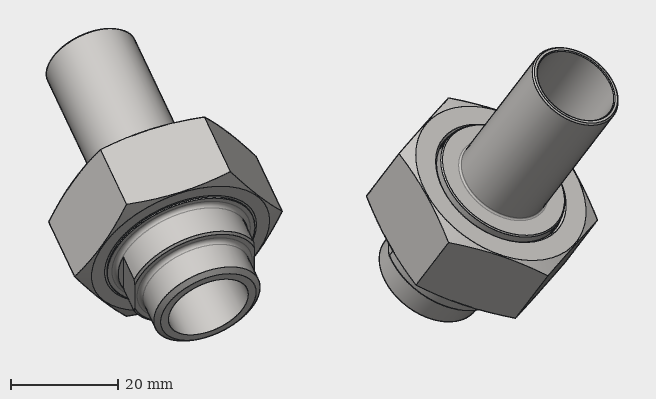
import cadquery as cq
import math

overall_length = 61.0
bore_radius = 16.0 / 2
thread_radius = 30.4 / 2

nut_start = 31.0
nut_end = 46.6
nut_across_flats = 36.0
nut_across_corners = nut_across_flats / math.cos(math.pi / 6)
nut_face_radius = 35.6 / 2
nut_chamfer_angle = math.radians(20)
nut_lip_radius = 26.5 / 2
nut_lip_length = 3.05
nut_lip_chamfer = 0.4
nut_shoulder = nut_start + nut_lip_length

tube_radius = 18.0 / 2
tube_outer_chamfer = 0.3
tube_inner_chamfer = 0.2
tube_fillet = 0.35
collar_start = 29.95
collar_radius = 26.0 / 2
collar_chamfer = 0.25
flange_length = 3.05
joint_face = nut_shoulder + flange_length

shoulder_radius = 29.5 / 2
shoulder_end = 46.9
barrel_radius = 26.0 / 2
barrel_end = 53.85
barrel_fillet = 0.85
barrel_chamfer_length = 0.35
barrel_chamfer_depth = 0.5
flat_setback = 0.2
flat_start = shoulder_end + barrel_fillet + flat_setback
flat_distance = 11.95
weld_end_radius = 21.3 / 2
weld_end_fillet = 0.85
weld_chamfer_length = 0.75
weld_chamfer_depth = 1.1


def revolve_about_x(profile):
    """Revolve a closed (x, radius) profile drawn on the XY plane."""
    return profile.close().revolve(360, (0, 0, 0), (1, 0, 0))


def concave_fillet(profile, face_x, radius_at_cylinder, fillet, side):
    """Arc between a face and a cylinder; side is -1 before the face and +1 after it."""
    cylinder_end = (face_x + side * fillet, radius_at_cylinder)
    face_end = (face_x, radius_at_cylinder + fillet)
    inset = fillet * (1 - math.sqrt(0.5))
    middle = (face_x + side * inset, radius_at_cylinder + inset)
    if side < 0:
        return profile.lineTo(*cylinder_end).threePointArc(middle, face_end)
    return profile.lineTo(*face_end).threePointArc(middle, cylinder_end)


def make_tail():
    profile = (
        cq.Workplane("XY")
        .moveTo(joint_face, bore_radius)
        .lineTo(tube_inner_chamfer, bore_radius)
        .lineTo(0, bore_radius + tube_inner_chamfer)
        .lineTo(0, tube_radius - tube_outer_chamfer)
        .lineTo(tube_outer_chamfer, tube_radius)
    )
    profile = concave_fillet(profile, collar_start, tube_radius, tube_fillet, -1)
    profile = (
        profile
        .lineTo(collar_start, collar_radius - collar_chamfer)
        .lineTo(collar_start + collar_chamfer, collar_radius)
        .lineTo(nut_shoulder, collar_radius)
        .lineTo(nut_shoulder, thread_radius)
        .lineTo(joint_face, thread_radius)
    )
    return revolve_about_x(profile)


def make_nut():
    length = nut_end - nut_start
    hexagon = (
        cq.Workplane("YZ", origin=(nut_start, 0, 0))
        .polygon(6, nut_across_corners)
        .extrude(length)
    )
    corner_radius = nut_across_corners / 2
    chamfer_length = (corner_radius - nut_face_radius) * math.tan(nut_chamfer_angle)
    envelope = revolve_about_x(
        cq.Workplane("XY")
        .moveTo(nut_start, nut_lip_radius + nut_lip_chamfer)
        .lineTo(nut_start, nut_face_radius)
        .lineTo(nut_start + chamfer_length, corner_radius)
        .lineTo(nut_end - chamfer_length, corner_radius)
        .lineTo(nut_end, nut_face_radius)
        .lineTo(nut_end, thread_radius)
        .lineTo(nut_shoulder, thread_radius)
        .lineTo(nut_shoulder, nut_lip_radius)
        .lineTo(nut_start + nut_lip_chamfer, nut_lip_radius)
    )
    return hexagon.intersect(envelope)


def make_wrench_flat_cutter(side):
    """Block removed from the barrel on the -Y (side -1) or +Y (side +1) side."""
    length = barrel_end - flat_start
    depth = barrel_radius
    return cq.Workplane("XY").box(length, depth, 2 * barrel_radius).translate(
        (flat_start + length / 2, side * (flat_distance + depth / 2), 0)
    )


def make_threaded_body():
    profile = (
        cq.Workplane("XY")
        .moveTo(joint_face, bore_radius)
        .lineTo(joint_face, thread_radius)
        .lineTo(nut_end, thread_radius)
        .lineTo(nut_end, shoulder_radius)
        .lineTo(shoulder_end, shoulder_radius)
    )
    profile = concave_fillet(profile, shoulder_end, barrel_radius, barrel_fillet, 1)
    profile = (
        profile
        .lineTo(barrel_end - barrel_chamfer_length, barrel_radius)
        .lineTo(barrel_end, barrel_radius - barrel_chamfer_depth)
    )
    profile = concave_fillet(profile, barrel_end, weld_end_radius, weld_end_fillet, 1)
    profile = (
        profile
        .lineTo(overall_length - weld_chamfer_length, weld_end_radius)
        .lineTo(overall_length, weld_end_radius - weld_chamfer_depth)
        .lineTo(overall_length, bore_radius)
    )
    body = revolve_about_x(profile)
    for side in (-1, 1):
        body = body.cut(make_wrench_flat_cutter(side))
    return body


tail = make_tail()
nut = make_nut()
threaded_body = make_threaded_body()

result = cq.Compound.makeCompound([tail.val(), nut.val(), threaded_body.val()])